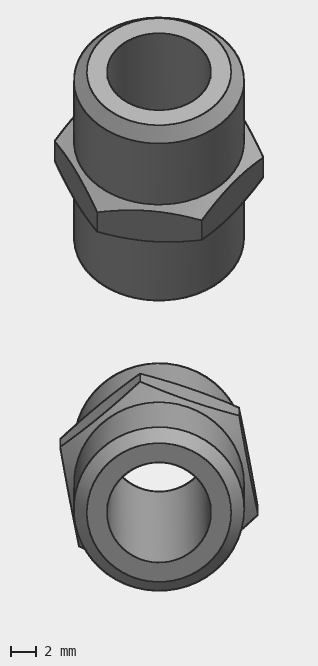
import cadquery as cq
import math

length = 20.0
barrel_diameter = 13.1
bore_diameter = 8.0
end_chamfer = 1.0

hex_sides = 6
half_side_angle = 180 / hex_sides
across_flats = 14.0
hex_height = 4.0
hex_bottom = (length - hex_height) / 2
hex_top = hex_bottom + hex_height
corner_bevel_angle = 30.0
bevel_overrun = 0.2

barrel_radius = barrel_diameter / 2
corner_radius = across_flats / 2 / math.cos(math.radians(half_side_angle))


def make_barrel():
    """Full-length cylinder with a chamfer at each end."""
    return cq.Workplane("XY").circle(barrel_radius).extrude(length).edges("%CIRCLE").chamfer(end_chamfer)


def make_hexagon():
    """Hexagon with corners on the Y axis, bevelled conically above and below."""
    prism = (
        cq.Workplane("XY", origin=(0, 0, hex_bottom))
        .polygon(hex_sides, 2 * corner_radius)
        .extrude(hex_height)
        .rotate((0, 0, 0), (0, 0, 1), half_side_angle)
    )
    envelope_radius = corner_radius + bevel_overrun
    bevel_drop = (envelope_radius - barrel_radius) * math.tan(math.radians(corner_bevel_angle))
    envelope = (
        cq.Workplane("XZ")
        .moveTo(0, hex_bottom)
        .lineTo(barrel_radius, hex_bottom)
        .lineTo(envelope_radius, hex_bottom + bevel_drop)
        .lineTo(envelope_radius, hex_top - bevel_drop)
        .lineTo(barrel_radius, hex_top)
        .lineTo(0, hex_top)
        .close()
        .revolve(360, (0, 0, 0), (0, 1, 0))
    )
    return prism.intersect(envelope)


def make_bore():
    """Straight through hole along the axis."""
    return cq.Workplane("XY").circle(bore_diameter / 2).extrude(length)


result = make_barrel().union(make_hexagon()).cut(make_bore())